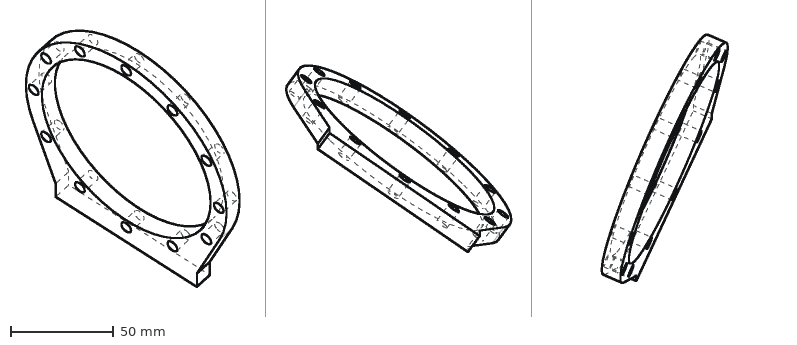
import cadquery as cq
import math

thickness = 10.0
outer_radius = 64.0
bore_diameter = 107.5

bolt_count = 12
bolt_hole_diameter = 6.1
bolt_circle_radius = 59.0
first_bolt_angle = 90.0
full_turn = 360.0

foot_width = 90.0
foot_side_height = 10.0
foot_bottom_z = -70.0

half_foot = foot_width / 2
foot_top_z = foot_bottom_z + foot_side_height


def tangent_point():
    """Point on the outer circle where the line from the foot's upper right corner touches it."""
    corner_distance = math.hypot(half_foot, foot_top_z)
    corner_angle = math.atan2(foot_top_z, half_foot)
    touch_angle = corner_angle + math.acos(outer_radius / corner_distance)
    return outer_radius * math.cos(touch_angle), outer_radius * math.sin(touch_angle)


def front_plane():
    """XZ sketch plane at the back of the plate, so that extruding toward -Y centres it on Y = 0."""
    return cq.Workplane("XZ", origin=(0, thickness / 2, 0))


def make_plate():
    """Round head joined to the flat foot by straight tangent flanks."""
    touch_x, touch_z = tangent_point()
    return (
        front_plane()
        .moveTo(-half_foot, foot_bottom_z)
        .lineTo(half_foot, foot_bottom_z)
        .lineTo(half_foot, foot_top_z)
        .lineTo(touch_x, touch_z)
        .threePointArc((0, outer_radius), (-touch_x, touch_z))
        .lineTo(-half_foot, foot_top_z)
        .close()
        .extrude(thickness)
    )


def make_bore():
    return front_plane().circle(bore_diameter / 2).extrude(thickness)


def make_bolt_holes():
    """Through holes evenly spaced around the ring, one of them at the top."""
    return (
        front_plane()
        .polarArray(bolt_circle_radius, first_bolt_angle, full_turn, bolt_count)
        .circle(bolt_hole_diameter / 2)
        .extrude(thickness)
    )


result = make_plate().cut(make_bore()).cut(make_bolt_holes())